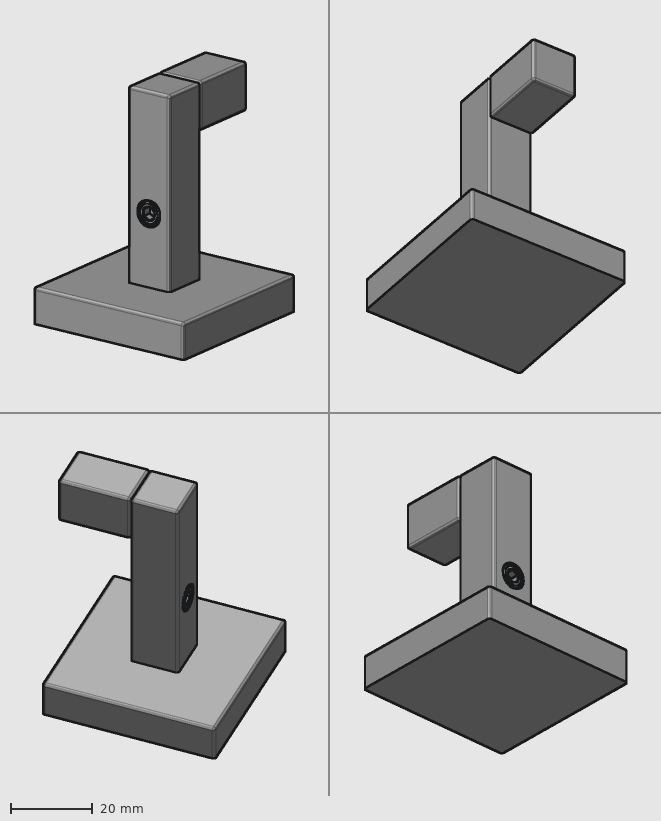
import cadquery as cq
import math


base_width = 45.72
base_thickness = 9.525

bar_width = 12.7
post_height = 50.8
arm_length = 19.05
arm_rise = 0.125
edge_radius = 0.76

screw_height = 19.05
screw_radius = 3.175
screw_length = 6.35
screw_end_chamfer = 0.55
socket_across_flats = 3.175
socket_sides = 6
socket_depth = 2.5
socket_tip_angle = 118
hole_chamfer = 0.3

arm_top = base_thickness + post_height + arm_rise
post_front_y = -bar_width / 2
post_back_y = bar_width / 2
screw_z = base_thickness + screw_height


def make_base():
    plate = cq.Workplane("XY").box(base_width, base_width, base_thickness, centered=(True, True, False))
    return plate.edges("|Z or >Z").fillet(edge_radius)


def screw_plane():
    """Workplane on the post's front face at the screw axis, its normal pointing into the post (+Y)."""
    return cq.Workplane(cq.Plane(origin=(0, post_front_y, screw_z), xDir=(1, 0, 0), normal=(0, 1, 0)))


def make_post():
    post = (
        cq.Workplane("XY")
        .workplane(offset=base_thickness)
        .box(bar_width, bar_width, post_height, centered=(True, True, False))
        .edges("|Z or >Z")
        .fillet(edge_radius)
    )
    screw_hole = screw_plane().circle(screw_radius).extrude(screw_length)
    mouth = cq.Solid.makeCone(
        screw_radius + hole_chamfer,
        screw_radius,
        hole_chamfer,
        pnt=cq.Vector(0, post_front_y, screw_z),
        dir=cq.Vector(0, 1, 0),
    )
    return post.cut(screw_hole).cut(cq.Workplane(obj=mouth))


def make_arm():
    arm = cq.Workplane("XY").box(bar_width, arm_length, bar_width)
    arm = arm.edges().fillet(edge_radius)
    return arm.translate((0, post_back_y + arm_length / 2, arm_top - bar_width / 2))


def make_screw():
    body = screw_plane().circle(screw_radius).extrude(screw_length)
    body = body.faces("<Y").chamfer(screw_end_chamfer)

    half_side_angle = 180 / socket_sides
    corner_radius = socket_across_flats / 2 / math.cos(math.radians(half_side_angle))
    tip_length = corner_radius / math.tan(math.radians(socket_tip_angle / 2))
    hexagon = (
        screw_plane()
        .transformed(rotate=(0, 0, half_side_angle))
        .polygon(socket_sides, 2 * corner_radius)
        .extrude(socket_depth + tip_length)
    )
    drill_profile = [
        (0, 0),
        (corner_radius, 0),
        (corner_radius, socket_depth),
        (0, socket_depth + tip_length),
    ]
    drill = (
        cq.Workplane("XY")
        .polyline(drill_profile)
        .close()
        .revolve(360, (0, 0, 0), (0, 1, 0))
        .translate((0, post_front_y, screw_z))
    )
    countersink = cq.Solid.makeCone(
        corner_radius,
        0,
        corner_radius,
        pnt=cq.Vector(0, post_front_y, screw_z),
        dir=cq.Vector(0, 1, 0),
    )
    return body.cut(hexagon.intersect(drill)).cut(cq.Workplane(obj=countersink))


base = make_base().solids()
post = make_post().solids()
arm = make_arm().solids()
screw = make_screw().solids()

result = cq.Compound.makeCompound([base.val(), post.val(), arm.val(), screw.val()])